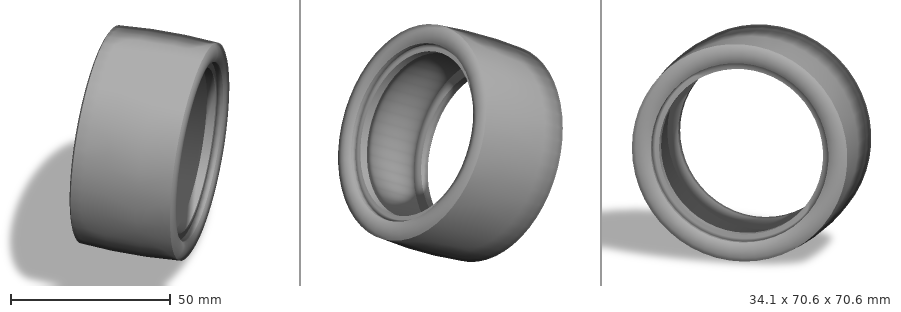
import cadquery as cq

width = 34.1
crown_radius = 35.3
shoulder_radius = 34.6
mouth_radius = 28.5
rib_radius = 26.35
recess_radius = 29.8
end_bulge = 1.0
mouth_depth = 1.9
rib_width = 2.75

end_x = width / 2
shoulder_x = end_x - end_bulge
rib_outer_x = shoulder_x - mouth_depth
rib_inner_x = rib_outer_x - rib_width
end_middle_radius = (shoulder_radius + mouth_radius) / 2

section = (
    cq.Workplane("XY")
    .moveTo(-shoulder_x, shoulder_radius)
    .threePointArc((0, crown_radius), (shoulder_x, shoulder_radius))
    .threePointArc((end_x, end_middle_radius), (shoulder_x, mouth_radius))
    .lineTo(rib_outer_x, mouth_radius)
    .lineTo(rib_outer_x, rib_radius)
    .lineTo(rib_inner_x, rib_radius)
    .lineTo(rib_inner_x, recess_radius)
    .lineTo(-rib_inner_x, recess_radius)
    .lineTo(-rib_inner_x, rib_radius)
    .lineTo(-rib_outer_x, rib_radius)
    .lineTo(-rib_outer_x, mouth_radius)
    .lineTo(-shoulder_x, mouth_radius)
    .threePointArc((-end_x, end_middle_radius), (-shoulder_x, shoulder_radius))
    .close()
)

result = section.revolve(360, (0, 0, 0), (1, 0, 0))